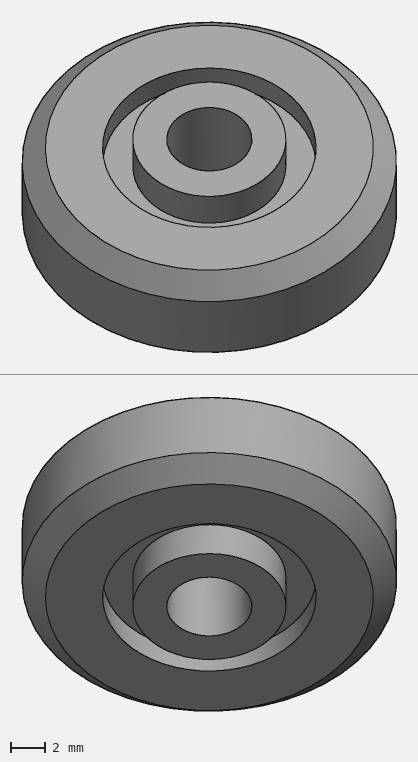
import cadquery as cq

wheel_diameter = 22.0
wheel_width = 7.0
chamfer_radial = 1.36
chamfer_axial = 1.25
hub_diameter = 9.0
hub_length = 8.5
bore_diameter = 5.0
recess_diameter = 12.55
recess_depth = 1.6


def cylinder(diameter, length):
    """Cylinder along Z, centred on the origin."""
    return cq.Workplane("XY").circle(diameter / 2).extrude(length / 2, both=True)


def wheel_body():
    """Solid of revolution with both rims chamfered."""
    radius = wheel_diameter / 2
    face_radius = radius - chamfer_radial
    half_width = wheel_width / 2
    shoulder = half_width - chamfer_axial
    profile = (
        cq.Workplane("XZ")
        .moveTo(0, -half_width)
        .lineTo(face_radius, -half_width)
        .lineTo(radius, -shoulder)
        .lineTo(radius, shoulder)
        .lineTo(face_radius, half_width)
        .lineTo(0, half_width)
        .close()
    )
    return profile.revolve(360, (0, 0, 0), (0, 1, 0))


def face_recesses():
    """Matching round pockets in both wheel faces, leaving a central web."""
    web_thickness = wheel_width - 2 * recess_depth
    return cylinder(recess_diameter, wheel_width).cut(cylinder(recess_diameter, web_thickness))


hub = cylinder(hub_diameter, hub_length)
bore = cylinder(bore_diameter, hub_length)

result = wheel_body().cut(face_recesses()).union(hub).cut(bore)